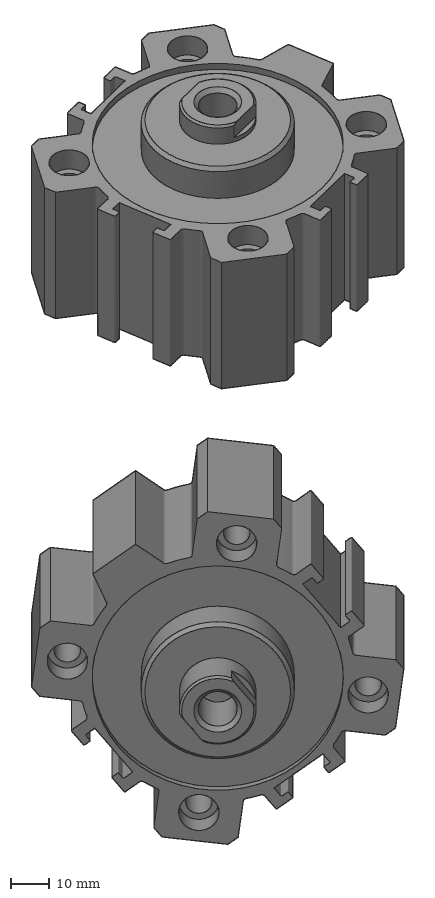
import cadquery as cq
import math

body_height = 42.8
recess_depth = 2.0
boss_height = 8.1

web_radius = 35.95
recess_diameter = 65.5
boss_diameter = 40.0
boss_chamfer = 1.0
root_fillet = 1.0

arm_reach = 40.0
arm_near = 24.3
arm_far = 27.7
bolt_offset = 28.0
bolt_diameter = 7.0
counterbore_diameter = 10.5
counterbore_depth = 6.5

rail_reach = 39.65
rail_half_width = 11.4
slot_floor = 34.35
slot_half_width = 8.1
slot_opening_half_width = 5.9
lip_thickness = 2.2
lip_fillet = 0.25

overall_depth = 84.0
key_reach = overall_depth - arm_reach
key_tip_half_width = 7.05
key_root_half_width = 9.6

rod_diameter = 20.0
rod_top_projection = 6.05
rod_bottom_projection = 11.0
rod_chamfer = 0.6
flat_width = 17.05
flat_length = 4.6
rod_hole_diameter = 10.1
rod_hole_depth = 15.1
countersink_diameter = 12.4
countersink_angle = 90

edge_tolerance = 0.01

mid_height = body_height / 2
boss_top = body_height + boss_height
boss_length = body_height + 2 * boss_height
rod_top = boss_top + rod_top_projection
rod_bottom = -boss_height - rod_bottom_projection
rod_length = rod_top - rod_bottom


def mirrored_ends(shape):
    """Return the shape together with its mirror image about the middle of the body."""
    return shape.union(shape.mirror("XY", (0, 0, mid_height)))


def corner_arms():
    """Two crossed bars with chamfered tips that form the four corner arms."""
    outline = [
        (arm_far, arm_reach),
        (arm_near, arm_reach),
        (-arm_reach, -arm_near),
        (-arm_reach, -arm_far),
        (-arm_far, -arm_reach),
        (-arm_near, -arm_reach),
        (arm_reach, arm_near),
        (arm_reach, arm_far),
    ]
    bar = cq.Workplane("XY").polyline(outline).close().extrude(body_height)
    return bar.union(bar.mirror("YZ"))


def rail_block():
    """Solid block, pointing to -Y, from which one T-slot rail is cut."""
    block = cq.Workplane("XY").rect(2 * rail_half_width, rail_reach).extrude(body_height)
    return block.translate((0, -rail_reach / 2, 0))


def t_slot():
    """T-shaped slot, pointing to -Y."""
    lip_inside = rail_reach - lip_thickness
    outline = [
        (-slot_half_width, -slot_floor),
        (slot_half_width, -slot_floor),
        (slot_half_width, -lip_inside),
        (slot_opening_half_width, -lip_inside),
        (slot_opening_half_width, -rail_reach),
        (-slot_opening_half_width, -rail_reach),
        (-slot_opening_half_width, -lip_inside),
        (-slot_half_width, -lip_inside),
    ]
    return cq.Workplane("XY").polyline(outline).close().extrude(body_height)


def key():
    """Tapered key on the +Y side."""
    root = math.sqrt(web_radius**2 - key_root_half_width**2)
    outline = [
        (0, 0),
        (key_root_half_width, root),
        (key_tip_half_width, key_reach),
        (-key_tip_half_width, key_reach),
        (-key_root_half_width, root),
    ]
    return cq.Workplane("XY").polyline(outline).close().extrude(body_height)


def is_root_edge(edge):
    """True for the upright edges on the round wall."""
    center = edge.Center()
    return abs(math.hypot(center.x, center.y) - web_radius) < edge_tolerance


def is_lip_edge(edge):
    """True for the upright edges at the free corners of the rails and at the roots of the lips."""
    center = edge.Center()
    along = min(abs(center.x), abs(center.y))
    outward = max(abs(center.x), abs(center.y))
    on_lip = slot_opening_half_width - edge_tolerance < along < rail_half_width + edge_tolerance
    past_floor = slot_floor + lip_fillet < outward < rail_reach + edge_tolerance
    return on_lip and past_floor


def bolt_holes():
    """Four through holes, counterbored from both end faces."""
    span = 2 * bolt_offset
    holes = cq.Workplane("XY").rect(span, span, forConstruction=True).vertices()
    through = holes.circle(bolt_diameter / 2).extrude(body_height)
    counterbores = holes.circle(counterbore_diameter / 2).extrude(counterbore_depth)
    return through.union(mirrored_ends(counterbores))


def make_housing():
    """Extruded body with bosses, bored through for the rod."""
    body = cq.Workplane("XY").circle(web_radius).extrude(body_height)
    body = body.union(corner_arms()).union(key())
    for angle in (-90, 0, 90):
        body = body.union(rail_block().rotate((0, 0, 0), (0, 0, 1), angle))
        body = body.cut(t_slot().rotate((0, 0, 0), (0, 0, 1), angle))

    root_edges = [edge for edge in body.edges("|Z").vals() if is_root_edge(edge)]
    body = body.newObject(root_edges).fillet(root_fillet)

    lip_edges = [edge for edge in body.edges("|Z").vals() if is_lip_edge(edge)]
    body = body.newObject(lip_edges).fillet(lip_fillet)
    body = body.cut(bolt_holes())

    recess = cq.Workplane("XY").circle(recess_diameter / 2).extrude(recess_depth)
    body = body.cut(mirrored_ends(recess))

    boss_base = cq.Workplane("XY").workplane(offset=-boss_height)
    boss = boss_base.circle(boss_diameter / 2).extrude(boss_length)
    boss = boss.faces("<Z or >Z").chamfer(boss_chamfer)
    rod_bore = boss_base.circle(rod_diameter / 2).extrude(boss_length)
    return body.union(boss).cut(rod_bore)


def make_rod():
    """Through rod with wrench flats and a countersunk blind hole at each end."""
    rod_base = cq.Workplane("XY").workplane(offset=rod_bottom)
    rod = rod_base.circle(rod_diameter / 2).extrude(rod_length)
    rod = rod.faces("<Z or >Z").chamfer(rod_chamfer)

    outer_ring = cq.Workplane("XY").rect(2 * rod_diameter, rod_diameter)
    flat_cutter = outer_ring.rect(flat_width, rod_diameter).extrude(flat_length)
    rod = rod.cut(flat_cutter.translate((0, 0, rod_top - flat_length)))
    rod = rod.cut(flat_cutter.translate((0, 0, rod_bottom)))

    for end in (">Z", "<Z"):
        rod = rod.faces(end).workplane(centerOption="CenterOfBoundBox").cskHole(
            rod_hole_diameter, countersink_diameter, countersink_angle, rod_hole_depth
        )
    return rod


housing = make_housing()
rod = make_rod()
result = cq.Compound.makeCompound([housing.solids().val(), rod.solids().val()])